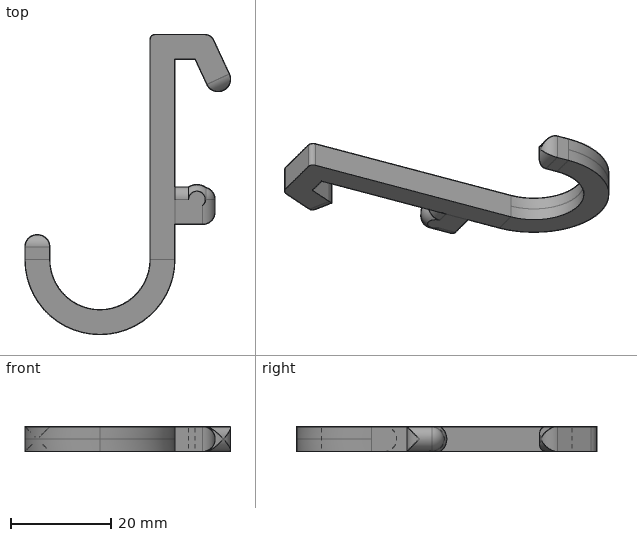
import cadquery as cq
import math

total_length = 60.0
bar = total_length / 12
tip_radius = bar / 2
bend_outer_radius = 3 * bar
bend_inner_radius = bend_outer_radius - bar
top_y = total_length - bend_outer_radius
short_leg_length = tip_radius

lip_gap = 4.0
lip_angle = 65.0
lip_length = 5.5
knee_radius = 2.0
corner_radius = 1.0

foot_bottom_y = 7.0
foot_flat_length = 5.5
foot_top_y = foot_bottom_y + bar
ball_radius = 3.0
ball_offset = 4.4


def box(x_min, x_max, y_min, y_max):
    """Block of full bar thickness, centred on Z = 0."""
    block = cq.Workplane("XY").box(x_max - x_min, y_max - y_min, bar)
    return block.translate(((x_min + x_max) / 2, (y_min + y_max) / 2, 0))


def rounded_tip(x, y, angle):
    """Bar end rounded in plan and in thickness; points along the angle."""
    plan_round = cq.Workplane("XY").circle(tip_radius).extrude(tip_radius, both=True)
    side_round = cq.Workplane("XZ").circle(tip_radius).extrude(tip_radius, both=True)
    front_half = box(0, tip_radius, -tip_radius, tip_radius)
    tip = plan_round.intersect(side_round).intersect(front_half)
    return tip.rotate((0, 0, 0), (0, 0, 1), angle).translate((x, y, 0))


def lower_hook():
    ring = (
        cq.Workplane("XY")
        .circle(bend_outer_radius)
        .circle(bend_inner_radius)
        .extrude(tip_radius, both=True)
    )
    lower_half = box(-bend_outer_radius, bend_outer_radius, -bend_outer_radius, 0)
    leg = box(-bend_outer_radius, -bend_inner_radius, 0, short_leg_length)
    tip_x = -(bend_outer_radius + bend_inner_radius) / 2
    tip = rounded_tip(tip_x, short_leg_length, 90)
    return ring.intersect(lower_half).union(leg).union(tip)


def shank_and_lip():
    slope = math.radians(lip_angle)
    along_x = math.cos(slope)
    along_y = -math.sin(slope)
    knee_x = bend_outer_radius + lip_gap
    knee_y = top_y - bar
    inner_end = (knee_x + lip_length * along_x, knee_y + lip_length * along_y)
    outer_end = (inner_end[0] - bar * along_y, inner_end[1] + bar * along_x)
    outer_knee_x = knee_x + bar * math.tan(slope / 2)
    outline = [
        (bend_inner_radius, 0),
        (bend_inner_radius, top_y),
        (outer_knee_x, top_y),
        outer_end,
        inner_end,
        (knee_x, knee_y),
        (bend_outer_radius, knee_y),
        (bend_outer_radius, 0),
    ]
    body = cq.Workplane("XY").polyline(outline).close().extrude(tip_radius, both=True)
    for corner_x, radius in ((outer_knee_x, knee_radius), (bend_inner_radius, corner_radius)):
        corner_edge = cq.selectors.NearestToPointSelector((corner_x, top_y, 0))
        body = body.edges(corner_edge).fillet(radius)
    tip_x = (inner_end[0] + outer_end[0]) / 2
    tip_y = (inner_end[1] + outer_end[1]) / 2
    return body.union(rounded_tip(tip_x, tip_y, -lip_angle))


def side_foot():
    flat_end_x = bend_outer_radius + foot_flat_length
    middle_y = foot_bottom_y + tip_radius
    block = box(bend_outer_radius, flat_end_x, foot_bottom_y, foot_top_y)
    ridge = (
        cq.Workplane("YZ", origin=(bend_outer_radius, foot_top_y, 0))
        .circle(tip_radius)
        .extrude(foot_flat_length)
    )
    end_round = (
        cq.Workplane("XZ", origin=(flat_end_x, foot_top_y, 0))
        .circle(tip_radius)
        .extrude(tip_radius)
    )
    lower_corner = rounded_tip(flat_end_x, middle_y, 0)
    upper_corner = cq.Workplane("XY").sphere(tip_radius).translate((flat_end_x, foot_top_y, 0))
    ball_x = bend_outer_radius + ball_offset
    ball = cq.Workplane("XY").sphere(ball_radius).translate((ball_x, foot_top_y, 0))
    ball_trim = box(
        ball_x - ball_radius,
        ball_x + ball_radius,
        foot_top_y - ball_radius,
        foot_top_y + ball_radius,
    )
    ball = ball.intersect(ball_trim)
    foot = block
    for piece in (ridge, end_round, lower_corner, upper_corner, ball):
        foot = foot.union(piece)
    return foot


result = lower_hook().union(shank_and_lip()).union(side_foot()).clean()